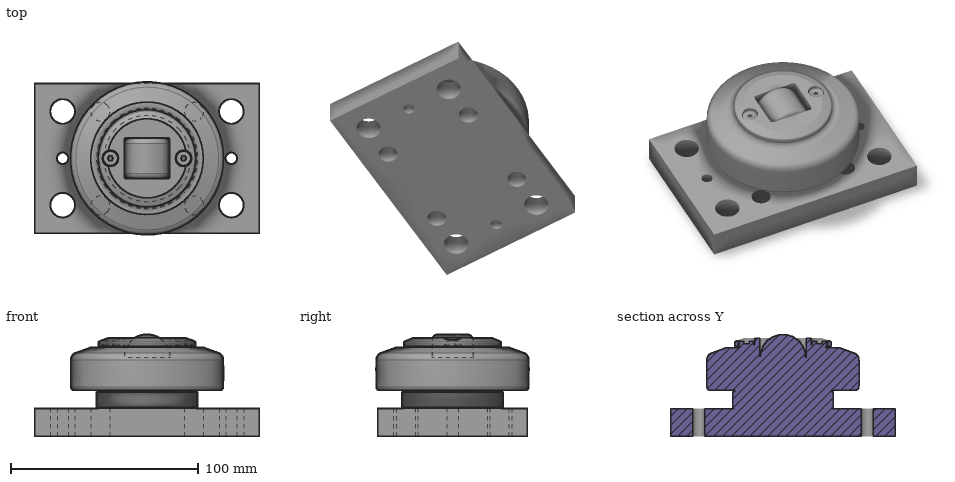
import cadquery as cq
import math

PLATE_LENGTH = 120.0
PLATE_WIDTH = 80.0
PLATE_HEIGHT = 15.0
MOUNT_X = 45.0
HOLE_ROW_Y = 25.0
MOUNT_DIAMETER = 13.0
DOWEL_DIAMETER = 6.0
INNER_HOLE_X = 25.0
INNER_HOLE_DIAMETER = 10.11

NECK_RADIUS = 27.0
NECK_TOP = 24.0
NECK_CHAMFER = 0.5

ROLLER_BOTTOM = 24.5
ROLLER_WIDTH = 23.0
ROLLER_TOP = ROLLER_BOTTOM + ROLLER_WIDTH
ROLLER_RADIUS = 40.85
CROWN = 0.1
FACE_RADIUS = 30.0
SHOULDER_ANGLE = math.radians(20.0)
SHOULDER_ROUND = 4.0
LOWER_ROUND = 2.0

COVER_RADIUS = 26.0
COVER_BOTTOM = 48.0
COVER_TOP = 52.5
COVER_FLAT_RADIUS = 21.1
COVER_CONE_ANGLE = math.radians(22.0)
COVER_ROUND = 1.0

LOWER_GAP_RADIUS = 26.0
UPPER_GAP_RADIUS = 23.1

CROSS_RADIUS = 12.2
CROSS_CROWN = 0.1
CROSS_TOP = 54.5
CROSS_AXIS_Z = CROSS_TOP - CROSS_RADIUS
CROSS_LENGTH = 21.5
CROSS_ROUND = 2.75
POCKET_LENGTH = 24.5
POCKET_WIDTH = 22.0
POCKET_CORNER = 1.5

SCREW_X = 19.5
RECESS_DIAMETER = 8.6
RECESS_FLOOR = 49.0
HEAD_DIAMETER = 7.8
HEAD_TOP = 51.0
SOCKET_SIDES = 6
SOCKET_SIZE = 2.5
SOCKET_DEPTH = 1.5
SOCKET_TURN = 30.0


def cylinder(radius, bottom, top):
    return cq.Workplane("XY").workplane(offset=bottom).circle(radius).extrude(top - bottom)


def make_plate():
    plate = cq.Workplane("XY").box(PLATE_LENGTH, PLATE_WIDTH, PLATE_HEIGHT, centered=(True, True, False))
    hole_groups = [
        (MOUNT_X, (-HOLE_ROW_Y, HOLE_ROW_Y), MOUNT_DIAMETER),
        (INNER_HOLE_X, (-HOLE_ROW_Y, HOLE_ROW_Y), INNER_HOLE_DIAMETER),
        (MOUNT_X, (0.0,), DOWEL_DIAMETER),
    ]
    for x, rows, diameter in hole_groups:
        places = [(side * x, y) for side in (-1, 1) for y in rows]
        plate = plate.cut(cq.Workplane("XY").pushPoints(places).circle(diameter / 2).extrude(PLATE_HEIGHT))
    return plate


def make_neck():
    neck = cylinder(NECK_RADIUS, PLATE_HEIGHT, NECK_TOP).edges().chamfer(NECK_CHAMFER)
    lower_core = cylinder(LOWER_GAP_RADIUS, PLATE_HEIGHT, ROLLER_BOTTOM)
    return neck.union(lower_core)


def shoulder_round(wall_radius, flat_radius, flat_z, cone_angle, round_radius):
    """Start, middle and end of the arc that joins an outer wall to the cone falling from a flat top."""
    sweep = math.pi / 2 - cone_angle
    centre_r = wall_radius - round_radius
    end_r = centre_r + round_radius * math.cos(sweep)
    end_z = flat_z - (end_r - flat_radius) * math.tan(cone_angle)
    centre_z = end_z - round_radius * math.sin(sweep)
    middle = (
        centre_r + round_radius * math.cos(sweep / 2),
        centre_z + round_radius * math.sin(sweep / 2),
    )
    return (wall_radius, centre_z), middle, (end_r, end_z)


def make_main_roller():
    edge_radius = ROLLER_RADIUS - CROWN
    face_end, round_middle, cone_edge = shoulder_round(
        edge_radius, FACE_RADIUS, ROLLER_TOP, SHOULDER_ANGLE, SHOULDER_ROUND
    )
    lower_r = edge_radius - LOWER_ROUND
    lower_z = ROLLER_BOTTOM + LOWER_ROUND
    round_diagonal = LOWER_ROUND * math.sqrt(0.5)
    crown_z = (lower_z + face_end[1]) / 2
    profile = (
        cq.Workplane("XZ")
        .moveTo(0, ROLLER_BOTTOM)
        .lineTo(lower_r, ROLLER_BOTTOM)
        .threePointArc((lower_r + round_diagonal, lower_z - round_diagonal), (edge_radius, lower_z))
        .threePointArc((ROLLER_RADIUS, crown_z), face_end)
        .threePointArc(round_middle, cone_edge)
        .lineTo(FACE_RADIUS, ROLLER_TOP)
        .lineTo(0, ROLLER_TOP)
        .close()
    )
    return profile.revolve(360, (0, 0, 0), (0, 1, 0))


def make_cover():
    rim_end, round_middle, cone_edge = shoulder_round(
        COVER_RADIUS, COVER_FLAT_RADIUS, COVER_TOP, COVER_CONE_ANGLE, COVER_ROUND
    )
    profile = (
        cq.Workplane("XZ")
        .moveTo(0, COVER_BOTTOM)
        .lineTo(COVER_RADIUS, COVER_BOTTOM)
        .lineTo(*rim_end)
        .threePointArc(round_middle, cone_edge)
        .lineTo(COVER_FLAT_RADIUS, COVER_TOP)
        .lineTo(0, COVER_TOP)
        .close()
    )
    cover = profile.revolve(360, (0, 0, 0), (0, 1, 0))
    return cover.union(cylinder(UPPER_GAP_RADIUS, ROLLER_TOP, COVER_BOTTOM))


def make_pocket():
    pocket = cq.Workplane("XY").workplane(offset=CROSS_AXIS_Z).rect(POCKET_LENGTH, POCKET_WIDTH)
    return pocket.extrude(COVER_TOP - CROSS_AXIS_Z).edges("|Z").fillet(POCKET_CORNER)


def make_cross_roller():
    half_length = CROSS_LENGTH / 2
    edge_radius = CROSS_RADIUS - CROSS_CROWN
    profile = (
        cq.Workplane("XY", origin=(0, 0, CROSS_AXIS_Z))
        .moveTo(0, -half_length)
        .lineTo(edge_radius, -half_length)
        .threePointArc((CROSS_RADIUS, 0), (edge_radius, half_length))
        .lineTo(0, half_length)
        .close()
    )
    roller = profile.revolve(360, (0, 0, 0), (0, 1, 0))
    return roller.faces("<Y or >Y").edges().fillet(CROSS_ROUND)


def add_screw(body, x):
    head = cylinder(HEAD_DIAMETER / 2, RECESS_FLOOR, HEAD_TOP)
    socket = (
        cq.Workplane("XY")
        .workplane(offset=HEAD_TOP - SOCKET_DEPTH)
        .polygon(SOCKET_SIDES, SOCKET_SIZE, circumscribed=True)
        .extrude(SOCKET_DEPTH)
        .rotate((0, 0, 0), (0, 0, 1), SOCKET_TURN)
    )
    recess = cylinder(RECESS_DIAMETER / 2, RECESS_FLOOR, COVER_TOP)
    screw = head.cut(socket)
    return body.cut(recess.translate((x, 0, 0))).union(screw.translate((x, 0, 0)))


body = make_plate().union(make_neck()).union(make_main_roller()).union(make_cover())
body = body.cut(make_pocket()).union(make_cross_roller())
for screw_x in (-SCREW_X, SCREW_X):
    body = add_screw(body, screw_x)

result = body